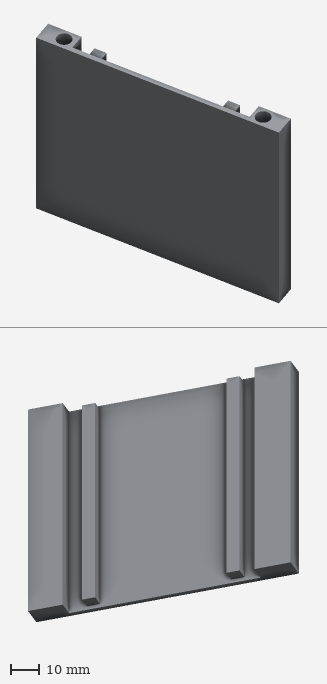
import cadquery as cq

width = 100.0
depth = 8.5
height = 83.0
plate_thickness = 2.0

left_rail_width = 13.8
right_rail_width = 13.2

rib_width = 5.0
rib_inset = 20.0
rib_back = 7.0
rib_end_gap = 1.5

hole_diameter = 6.0
hole_inset = 9.0
hole_y = 4.3
hole_depth = 10.0


def upright(x_start, x_size, y_size, end_gap=0):
    """Vertical block from the front plane back to y_size, shortened by end_gap at both ends."""
    block = cq.Workplane("XY").box(x_size, y_size, height - 2 * end_gap, centered=False)
    return block.translate((x_start, 0, end_gap))


plate = upright(0, width, plate_thickness)
left_rail = upright(0, left_rail_width, depth)
right_rail = upright(width - right_rail_width, right_rail_width, depth)
body = plate.union(left_rail).union(right_rail)

for rib_x in (rib_inset, width - rib_inset - rib_width):
    body = body.union(upright(rib_x, rib_width, rib_back, rib_end_gap))

hole_cutter = (
    cq.Workplane("XY", origin=(0, 0, height - hole_depth))
    .pushPoints([(hole_inset, hole_y), (width - hole_inset, hole_y)])
    .circle(hole_diameter / 2)
    .extrude(hole_depth)
)

result = body.cut(hole_cutter)